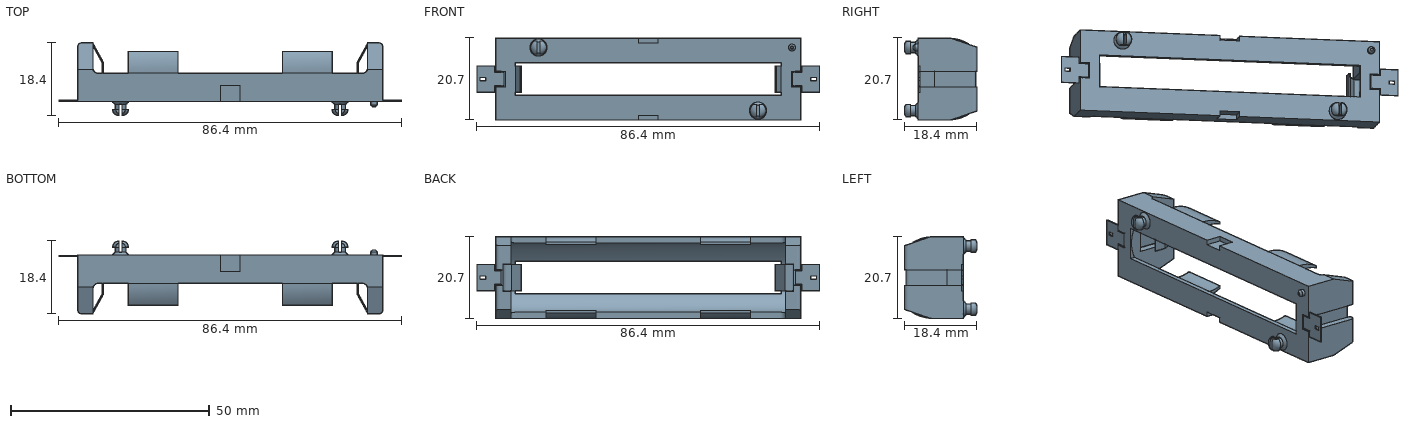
import cadquery as cq
import math


HOUSING_LENGTH = 76.95
HOUSING_WIDTH = 20.7
HOUSING_DEPTH = 14.9
RAIL_DEPTH = 7.2
END_WALL = 3.9
FLANK_START = 8.1
BACK_WIDTH = 16.1
EDGE_RADIUS = 1.0
RAIL_FILLET = 1.3

BORE_RADIUS = 9.0
BORE_AXIS_Y = 9.3
WINDOW_LENGTH = 67.0
WINDOW_WIDTH = 8.1

CLIP_LENGTH = 12.6
CLIP_CENTRE_X = 19.45
CLIP_TOP = 12.7
CLIP_OUTER_RADIUS = HOUSING_WIDTH / 2
CLIP_OUTER_AXIS_Y = 7.5

NOTCH_LENGTH = 5.0
NOTCH_DEPTH = 4.15
NOTCH_INSET = 1.2

POST_X = 27.7
POST_Z = 7.95
POST_LENGTH = 3.5
POST_RADIUS = 1.4
POST_FOOT_RADIUS = 2.2
POST_FOOT_HEIGHT = 0.7
HEAD_RADIUS = 2.0
HEAD_START = 1.9
HEAD_TIP_RADIUS = 0.8
HEAD_FLATS = 3.2
HEAD_MID_ANGLE = math.radians(45)
SLIT_WIDTH = 0.7
PEG_X = 36.2
PEG_RADIUS = 0.9
PEG_LENGTH = 1.3
PEG_CHAMFER = 0.5

SHEET = 0.35
CONTACT_END_X = 43.2
CONTACT_WIDTH = 6.7
TAB_WIDTH = 3.5
LUG_FRONT_Y = 0.1
STRIP_X = 36.7
CONTACT_BACK_Y = 14.5
FOLD_X = 34.5
SPRING_X = 32.0
SPRING_KINK_Y = 9.9
SPRING_END_Y = 6.9
BEND_RADIUS = 0.6
LUG_HOLE_X = 41.7
LUG_HOLE_LENGTH = 1.4
LUG_HOLE_WIDTH = 0.8

SLOT_WIDTH = 3.9
SLOT_DEPTH = 1.4
POCKET_WIDTH = 6.9
POCKET_FLOOR_Y = 4.15
RECESS_CLEARANCE = 0.3

HALF_LENGTH = HOUSING_LENGTH / 2
HALF_WIDTH = HOUSING_WIDTH / 2
WALL_INNER_X = HALF_LENGTH - END_WALL
STRIP_INNER_X = STRIP_X - SHEET
LUG_BACK_Y = LUG_FRONT_Y + SHEET
NECK_END_X = HALF_LENGTH + RECESS_CLEARANCE


def box(x0, x1, y0, y1, width, centre_z=0.0):
    """Box between two X and two Y positions, with its width centred in Z."""
    return (
        cq.Workplane("XY", origin=((x0 + x1) / 2, (y0 + y1) / 2, centre_z))
        .box(abs(x1 - x0), y1 - y0, width)
    )


def cylinder_x(radius, axis_y, length, centre_x=0.0):
    """Cylinder along X, centred at centre_x."""
    start = cq.Vector(centre_x - length / 2, axis_y, 0)
    return cq.Workplane(cq.Solid.makeCylinder(radius, length, start, cq.Vector(1, 0, 0)))


def housing_block():
    """Long block with narrowing end walls and lower rails between them."""
    block = (
        cq.Workplane("YZ", origin=(-HALF_LENGTH, 0, 0))
        .polyline([
            (0, -HALF_WIDTH),
            (FLANK_START, -HALF_WIDTH),
            (HOUSING_DEPTH, -BACK_WIDTH / 2),
            (HOUSING_DEPTH, BACK_WIDTH / 2),
            (FLANK_START, HALF_WIDTH),
            (0, HALF_WIDTH),
        ])
        .close()
        .extrude(HOUSING_LENGTH)
    )
    block = block.faces(">Y").edges("|Z").fillet(EDGE_RADIUS)
    gap = box(-WALL_INNER_X, WALL_INNER_X, RAIL_DEPTH, 2 * HOUSING_DEPTH, 2 * HOUSING_WIDTH)
    gap = gap.faces("<Y").edges("|Z").fillet(RAIL_FILLET)
    return block.cut(gap)


def clip_arms(centre_x):
    """Pair of curved arms, tapering in thickness, that rise from both rails."""
    outer = cylinder_x(CLIP_OUTER_RADIUS, CLIP_OUTER_AXIS_Y, CLIP_LENGTH, centre_x)
    half = CLIP_LENGTH / 2
    band = box(centre_x - half, centre_x + half, 0, CLIP_TOP, HOUSING_WIDTH)
    return outer.intersect(band)


def snap_post(x, z):
    """Split mounting post with a conical foot and a rounded, flattened head."""
    arc_height = POST_LENGTH - HEAD_START
    mid_point = (
        HEAD_TIP_RADIUS + (HEAD_RADIUS - HEAD_TIP_RADIUS) * math.cos(HEAD_MID_ANGLE),
        -HEAD_START - arc_height * math.sin(HEAD_MID_ANGLE),
    )
    post = (
        cq.Workplane("XY")
        .moveTo(0, 0)
        .lineTo(POST_FOOT_RADIUS, 0)
        .lineTo(POST_RADIUS, -POST_FOOT_HEIGHT)
        .lineTo(POST_RADIUS, -HEAD_START)
        .lineTo(HEAD_RADIUS, -HEAD_START)
        .threePointArc(mid_point, (HEAD_TIP_RADIUS, -POST_LENGTH))
        .lineTo(0, -POST_LENGTH)
        .close()
        .revolve(360, (0, 0, 0), (0, 1, 0))
    )
    reach = POST_FOOT_RADIUS
    foot = box(-reach, reach, -POST_FOOT_HEIGHT, 0, 2 * reach)
    flattened = box(-reach, reach, -POST_LENGTH, 0, HEAD_FLATS)
    slit = box(-SLIT_WIDTH / 2, SLIT_WIDTH / 2, -POST_LENGTH, -POST_FOOT_HEIGHT, 2 * reach)
    return post.intersect(foot.union(flattened)).cut(slit).translate((x, 0, z))


def locating_peg():
    """Small chamfered peg beside one end of the mounting face."""
    return (
        cq.Workplane("XZ", origin=(PEG_X, 0, POST_Z))
        .circle(PEG_RADIUS)
        .extrude(PEG_LENGTH)
        .faces("<Y")
        .chamfer(PEG_CHAMFER)
    )


def contact_openings():
    """Slot, pocket and mounting-face recess in the end wall at +X."""
    slot = box(HALF_LENGTH - SLOT_DEPTH, HALF_LENGTH, 0, HOUSING_DEPTH, SLOT_WIDTH)
    window = box(STRIP_X, HALF_LENGTH, POCKET_FLOOR_Y, HOUSING_DEPTH, SLOT_WIDTH)
    pocket = box(WALL_INNER_X, STRIP_X, POCKET_FLOOR_Y, HOUSING_DEPTH, POCKET_WIDTH)
    passage = box(STRIP_INNER_X, STRIP_X, 0, POCKET_FLOOR_Y, TAB_WIDTH)
    recess = box(STRIP_INNER_X - RECESS_CLEARANCE, HALF_LENGTH, 0, LUG_BACK_Y, SLOT_WIDTH)
    return slot.union(window).union(pocket).union(passage).union(recess)


def make_housing():
    body = housing_block()
    for side in (-1, 1):
        body = body.union(clip_arms(side * CLIP_CENTRE_X))
    body = body.cut(cylinder_x(BORE_RADIUS, BORE_AXIS_Y, 2 * WALL_INNER_X))
    body = body.cut(box(-WINDOW_LENGTH / 2, WINDOW_LENGTH / 2, 0, BORE_AXIS_Y, WINDOW_WIDTH))
    for side in (-1, 1):
        notch_z = side * (HALF_WIDTH - NOTCH_INSET / 2)
        body = body.cut(
            box(-NOTCH_LENGTH / 2, NOTCH_LENGTH / 2, 0, NOTCH_DEPTH, NOTCH_INSET, notch_z)
        )
        body = body.union(snap_post(side * POST_X, -side * POST_Z))
    openings = contact_openings()
    body = body.cut(openings).cut(openings.mirror("YZ"))
    return body.union(locating_peg())


def make_contact():
    """Contact at +X: solder lug, neck, upright strip over the end wall and slanted spring leg."""
    slant = math.atan2(FOLD_X - SPRING_X, CONTACT_BACK_Y - SPRING_KINK_Y)
    fold_shift = SHEET * math.tan((math.pi / 2 - slant) / 2)
    kink_shift = SHEET * math.tan(slant / 2)
    strip = (
        cq.Workplane("XY", origin=(0, 0, -CONTACT_WIDTH / 2))
        .polyline([
            (CONTACT_END_X, LUG_FRONT_Y),
            (STRIP_INNER_X, LUG_FRONT_Y),
            (STRIP_INNER_X, CONTACT_BACK_Y - SHEET),
            (FOLD_X + fold_shift, CONTACT_BACK_Y - SHEET),
            (SPRING_X + SHEET, SPRING_KINK_Y - kink_shift),
            (SPRING_X + SHEET, SPRING_END_Y),
            (SPRING_X, SPRING_END_Y),
            (SPRING_X, SPRING_KINK_Y),
            (FOLD_X, CONTACT_BACK_Y),
            (STRIP_X, CONTACT_BACK_Y),
            (STRIP_X, LUG_BACK_Y),
            (CONTACT_END_X, LUG_BACK_Y),
        ])
        .close()
        .extrude(CONTACT_WIDTH)
    )
    outer_corner = cq.NearestToPointSelector((STRIP_X, CONTACT_BACK_Y, 0))
    strip = strip.edges(outer_corner).fillet(BEND_RADIUS + SHEET)
    inner_corner = cq.NearestToPointSelector((STRIP_INNER_X, CONTACT_BACK_Y - SHEET, 0))
    strip = strip.edges(inner_corner).fillet(BEND_RADIUS)

    around_neck = box(STRIP_INNER_X, NECK_END_X, 0, POCKET_FLOOR_Y, 2 * CONTACT_WIDTH)
    neck = box(STRIP_INNER_X, NECK_END_X, 0, POCKET_FLOOR_Y, TAB_WIDTH)
    neck_trim = around_neck.cut(neck)
    half_hole = LUG_HOLE_LENGTH / 2
    hole = box(LUG_HOLE_X - half_hole, LUG_HOLE_X + half_hole, 0, LUG_BACK_Y, LUG_HOLE_WIDTH)
    return strip.cut(neck_trim).cut(hole)


housing = make_housing().solids()
right_contact = make_contact().solids()
left_contact = right_contact.mirror("YZ")

result = cq.Compound.makeCompound([housing.val(), left_contact.val(), right_contact.val()])